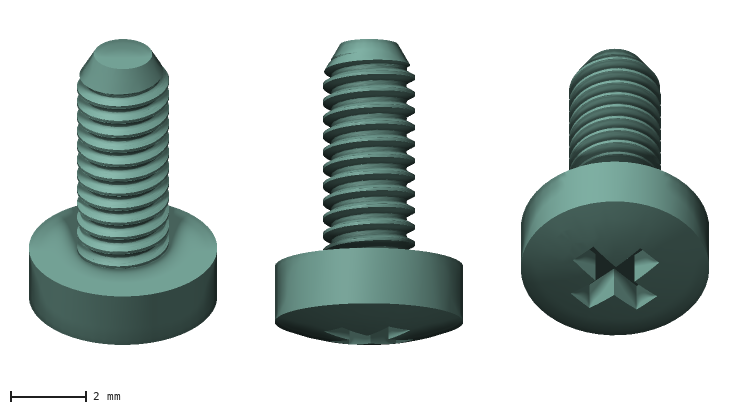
import cadquery as cq
import math

total_height = 7.98
head_diameter = 5.0
head_top = 1.98
head_side_height = 1.5

major_diameter = 2.45
minor_diameter = 2.01
pitch = 0.45
root_flat = pitch / 4
flank_angle = 30.0
flank_points = 24
crest_height = 7.14

tip_diameter = 1.55
tip_half_angle = 30.0

recess_width = 0.735
recess_length = 2.505
recess_depth = 1.0

head_radius = head_diameter / 2
major_radius = major_diameter / 2
minor_radius = minor_diameter / 2
rim_height = head_top - head_side_height

corner_radius = math.hypot(recess_width / 2, recess_width / 2)
center_height = (head_radius**2 + rim_height**2 - corner_radius**2) / (2 * rim_height)
dome_radius = math.hypot(corner_radius, center_height)
dome_bottom = center_height - dome_radius


def make_head():
    """Round head with a spherical lower face and a cross recess."""
    mid_radius = head_radius / 2
    mid_height = center_height - math.sqrt(dome_radius**2 - mid_radius**2)
    head = (
        cq.Workplane("XZ")
        .moveTo(0, dome_bottom)
        .threePointArc((mid_radius, mid_height), (head_radius, rim_height))
        .lineTo(head_radius, head_top)
        .lineTo(0, head_top)
        .close()
        .revolve(360, (0, 0, 0), (0, 1, 0))
    )
    recess_start = cq.Workplane("XY", origin=(0, 0, -recess_depth))
    long_x = recess_start.rect(recess_length, recess_width).extrude(2 * recess_depth)
    long_y = recess_start.rect(recess_width, recess_length).extrude(2 * recess_depth)
    return head.cut(long_x.union(long_y))


def make_tip_envelope():
    """Cone that tapers the tip of the thread, widening down to the head."""
    length = total_height - head_top
    base_radius = tip_diameter / 2 + length * math.tan(math.radians(tip_half_angle))
    return cq.Workplane(
        cq.Solid.makeCone(base_radius, tip_diameter / 2, length, cq.Vector(0, 0, head_top))
    )


def make_threaded_rod():
    """Right-handed thread, made by twisting its cross-section along the axis.

    The section is an arc at the crest, an arc at the root, and two spirals for the flanks.
    """
    flank_height = (major_radius - minor_radius) * math.tan(math.radians(flank_angle))
    crest_flat = pitch - root_flat - 2 * flank_height
    crest_half = math.pi * crest_flat / pitch
    flank_turn = 2 * math.pi * flank_height / pitch
    root_start = crest_half + flank_turn
    crest_angle = 2 * math.pi * (head_top - crest_height) / pitch

    def polar(radius, angle):
        return (
            radius * math.cos(crest_angle + angle),
            radius * math.sin(crest_angle + angle),
        )

    def falling_flank(t):
        radius = major_radius + (minor_radius - major_radius) * t
        return polar(radius, crest_half + flank_turn * t)

    def rising_flank(t):
        radius = minor_radius + (major_radius - minor_radius) * t
        return polar(radius, -root_start + flank_turn * t)

    section = (
        cq.Workplane("XY", origin=(0, 0, head_top))
        .moveTo(*polar(major_radius, -crest_half))
        .threePointArc(polar(major_radius, 0), polar(major_radius, crest_half))
        .parametricCurve(falling_flank, N=flank_points, makeWire=False)
        .moveTo(*polar(minor_radius, root_start))
        .threePointArc(polar(minor_radius, math.pi), polar(minor_radius, -root_start))
        .parametricCurve(rising_flank, N=flank_points, makeWire=False)
        .wire()
    )
    length = total_height - head_top
    return section.twistExtrude(length, 360 * length / pitch)


shank = make_threaded_rod().intersect(make_tip_envelope())
result = make_head().union(shank)